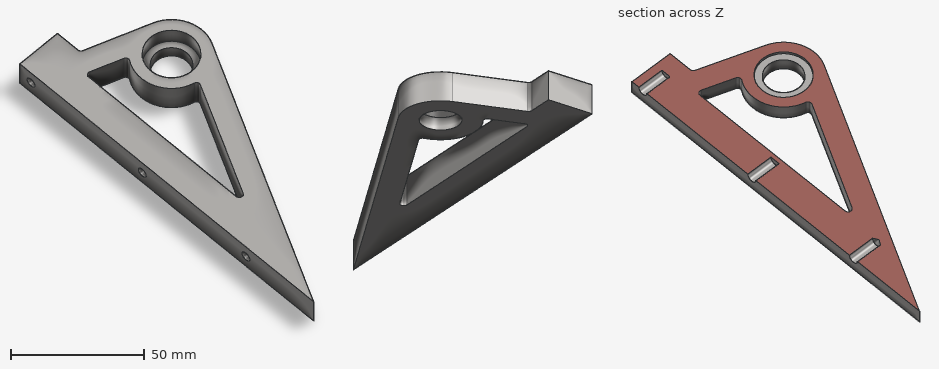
import cadquery as cq
import math

length = 156.0
thickness = 12.25
block_height = 20.0
block_top_length = 12.0
notch_radius = 1.5

boss_x = 37.0
boss_y = 43.5
boss_radius = 16.0
bearing_diameter = 22.0
bearing_depth = 7.0
bore_diameter = 16.0

base_bar_width = 14.0
side_bar_width = 10.0
window_corner_radius = 1.5

mount_hole_diameter = 4.2
mount_hole_depth = 12.0
flat_hole_positions = (6.0, 65.0)
drilled_hole_position = 120.0
drill_point_angle = 118.0


def edge_angle(start_x, start_y, side):
    """Direction from a start point along its tangent to the boss (side +1: left of centre line)."""
    dx = boss_x - start_x
    dy = boss_y - start_y
    tangent_offset = math.asin(boss_radius / math.hypot(dx, dy))
    return math.atan2(dy, dx) + side * tangent_offset


def boss_point(angle):
    return (boss_x + boss_radius * math.cos(angle), boss_y + boss_radius * math.sin(angle))


steep_angle = edge_angle(block_top_length, block_height, 1)
slope_angle = edge_angle(length, 0, -1)
steep_normal = steep_angle + math.pi / 2
slope_normal = slope_angle - math.pi / 2


def make_outline():
    """Foot, steep edge, arc around the boss and long sloping edge."""
    arc_middle = boss_point((steep_normal + slope_normal) / 2)
    body = (
        cq.Workplane("XY")
        .lineTo(length, 0)
        .lineTo(*boss_point(slope_normal))
        .threePointArc(arc_middle, boss_point(steep_normal))
        .lineTo(block_top_length, block_height)
        .lineTo(0, block_height)
        .close()
        .extrude(thickness)
    )
    notch = cq.selectors.NearestToPointSelector((block_top_length, block_height, thickness / 2))
    return body.edges("|Z").edges(notch).fillet(notch_radius)


def inner_line_x(angle, normal, y):
    """X at height y of the bar edge parallel to an outer edge, side_bar_width inside it."""
    inset = boss_radius - side_bar_width
    point_x = boss_x + inset * math.cos(normal)
    point_y = boss_y + inset * math.sin(normal)
    return point_x + (y - point_y) / math.tan(angle)


def inner_apex():
    """Point where the two inner bar edges meet, inside the boss."""
    steep_x = inner_line_x(steep_angle, steep_normal, 0)
    slope_x = inner_line_x(slope_angle, slope_normal, 0)
    steep_run = 1 / math.tan(steep_angle)
    slope_run = 1 / math.tan(slope_angle)
    y = (slope_x - steep_x) / (steep_run - slope_run)
    return (steep_x + steep_run * y, y)


def make_window():
    """Triangle between the bars, less the boss, with all corners rounded."""
    triangle = (
        cq.Workplane("XY")
        .moveTo(inner_line_x(steep_angle, steep_normal, base_bar_width), base_bar_width)
        .lineTo(inner_line_x(slope_angle, slope_normal, base_bar_width), base_bar_width)
        .lineTo(*inner_apex())
        .close()
        .extrude(thickness)
    )
    boss = cq.Workplane("XY").center(boss_x, boss_y).circle(boss_radius).extrude(thickness)
    return triangle.cut(boss).edges("|Z").fillet(window_corner_radius)


def make_bearing_seat():
    """Through bore with a bearing pocket in the top face."""
    centre = cq.Workplane("XY").center(boss_x, boss_y)
    bore = centre.circle(bore_diameter / 2).extrude(thickness)
    pocket = (
        centre.workplane(offset=thickness - bearing_depth)
        .circle(bearing_diameter / 2)
        .extrude(bearing_depth)
    )
    return bore.union(pocket)


def make_mount_hole(x):
    """Flat-bottomed blind hole running in +Y from the long face."""
    mouth = cq.Vector(x, 0, thickness / 2)
    return cq.Solid.makeCylinder(mount_hole_diameter / 2, mount_hole_depth, mouth, cq.Vector(0, 1, 0))


def make_drill_point(x):
    """Conical end of a drilled hole."""
    radius = mount_hole_diameter / 2
    point_length = radius / math.tan(math.radians(drill_point_angle / 2))
    base = cq.Vector(x, mount_hole_depth, thickness / 2)
    return cq.Solid.makeCone(radius, 0, point_length, base, cq.Vector(0, 1, 0))


result = make_outline().cut(make_window()).cut(make_bearing_seat())
for hole_x in (*flat_hole_positions, drilled_hole_position):
    result = result.cut(cq.Workplane(make_mount_hole(hole_x)))
result = result.cut(cq.Workplane(make_drill_point(drilled_hole_position)))